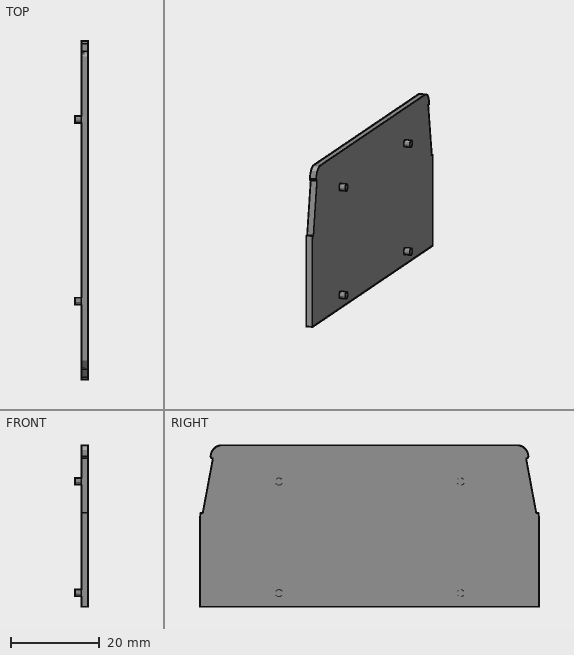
import cadquery as cq

length = 76.5
height = 36.5
thickness = 1.5

half_length = length / 2
shoulder_z = height - 15.3
flank_foot_y = half_length - 0.6
neck_y = half_length - 2.9
lip_y = half_length - 2.4
lip_z = height - 3.0
lip_taper_depth = 0.45
lip_upper_inset = 0.1
lip_lower_inset = 0.15
corner_end_y = lip_y - lip_upper_inset
corner_run = 2.6
corner_drop = 2.1
corner_radius = (corner_run**2 + corner_drop**2) / (2 * corner_drop)

upper_easing_depth = 0.5
upper_easing_inset = 0.14
lower_easing_depth = 1.0
lower_easing_inset = 0.04

peg_diameter = 1.6
peg_length = 1.45
peg_spacing_y = 41.0
peg_bottom_z = 3.1
peg_spacing_z = 25.2


def make_half_plate():
    """Half of the plate on the +Y side of its mid-plane."""
    outline = (
        cq.Workplane("YZ")
        .moveTo(0, 0)
        .lineTo(half_length, 0)
        .lineTo(half_length, shoulder_z - lower_easing_depth)
        .lineTo(half_length - lower_easing_inset, shoulder_z - upper_easing_depth)
        .lineTo(half_length - upper_easing_inset, shoulder_z)
        .lineTo(flank_foot_y, shoulder_z)
        .lineTo(neck_y, lip_z)
        .lineTo(lip_y - lip_lower_inset, lip_z)
        .lineTo(lip_y, lip_z + lip_taper_depth)
        .lineTo(corner_end_y, height - corner_drop)
        .radiusArc((corner_end_y - corner_run, height), -corner_radius)
        .lineTo(0, height)
        .close()
    )
    return outline.extrude(thickness)


def make_pegs():
    """Four round pegs standing on the -X face."""
    peg_positions = [
        (side * peg_spacing_y / 2, z)
        for side in (-1, 1)
        for z in (peg_bottom_z, peg_bottom_z + peg_spacing_z)
    ]
    return (
        cq.Workplane("YZ")
        .pushPoints(peg_positions)
        .circle(peg_diameter / 2)
        .extrude(-peg_length)
    )


half_plate = make_half_plate()
plate = half_plate.union(half_plate.mirror("XZ"))
result = plate.union(make_pegs()).clean()